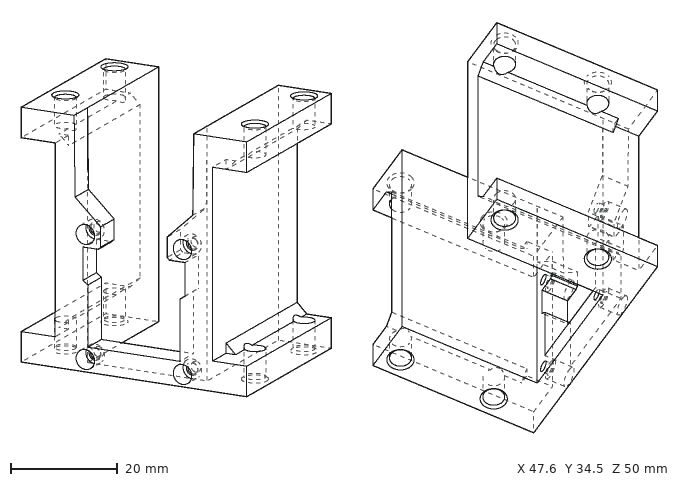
import cadquery as cq

width = 47.6
depth = 34.5
height = 50.0
center_x = width / 2

plate_thickness = 5.5
flange_thickness = 6.0
web_outer_x = 7.2
wall_inner_x = 11.2
gusset_leg = 2.0

opening_floor_z = 4.95
lower_step_x = 14.1
lower_step_z = 17.15
recess_x = 13.05
recess_bottom_z = 17.9
lug_bottom_z = 24.45
lug_tip_x = 16.8
lug_tip_z = 28.95
lug_root_x = 11.4
lug_root_z = 34.0
lug_corner_chamfer = 0.5

mount_hole_diameter = 4.1
countersink_diameter = 5.1
countersink_depth = (countersink_diameter - mount_hole_diameter) / 2
mount_spacing_x = 40.0
mount_spacing_y = 20.0
mount_margin = (width - mount_spacing_x) / 2

screw_hole_diameter = 2.1
screw_bore_diameter = 3.9
screw_bore_depth = 4.0
screw_edge_chamfer = 0.2
screw_spacing_x = 20.5
screw_bottom_z = 2.45
screw_spacing_z = 24.5


def mirror_across_center(body):
    return body.mirror("YZ", (center_x, 0, 0))


def extrude_along_y(points, start_y, length):
    """Extrude an XZ outline from start_y toward +Y."""
    return cq.Workplane("XZ", origin=(0, start_y, 0)).polyline(points).close().extrude(-length)


def make_half_plate():
    outline = [
        (0, 0),
        (center_x, 0),
        (center_x, opening_floor_z),
        (lower_step_x, opening_floor_z),
        (lower_step_x, lower_step_z),
        (recess_x, recess_bottom_z),
        (recess_x, lug_bottom_z),
        (lug_tip_x - lug_corner_chamfer, lug_bottom_z),
        (lug_tip_x, lug_bottom_z + lug_corner_chamfer),
        (lug_tip_x, lug_tip_z),
        (lug_root_x, lug_root_z),
        (wall_inner_x, height),
        (0, height),
        (0, height - flange_thickness),
        (web_outer_x, height - flange_thickness),
        (web_outer_x, flange_thickness),
        (0, flange_thickness),
    ]
    return extrude_along_y(outline, 0, plate_thickness)


def make_side_wall():
    upper_z = height - flange_thickness
    outline = [
        (0, 0),
        (wall_inner_x, 0),
        (wall_inner_x, height),
        (0, height),
        (0, upper_z),
        (web_outer_x - gusset_leg, upper_z),
        (web_outer_x, upper_z - gusset_leg),
        (web_outer_x, flange_thickness + gusset_leg),
        (web_outer_x - gusset_leg, flange_thickness),
        (0, flange_thickness),
    ]
    return extrude_along_y(outline, plate_thickness, depth - plate_thickness)


def make_mount_hole_cutter(x, y):
    """One vertical hole through both flanges, countersunk at the top and bottom faces."""
    hole_radius = mount_hole_diameter / 2
    rim_radius = countersink_diameter / 2
    profile = [
        (0, 0),
        (rim_radius, 0),
        (hole_radius, countersink_depth),
        (hole_radius, height - countersink_depth),
        (rim_radius, height),
        (0, height),
    ]
    cutter = cq.Workplane("XZ").polyline(profile).close().revolve(360, (0, 0), (0, 1))
    return cutter.translate((x, y, 0))


def make_screw_hole_cutter(x, z):
    """One counterbored hole along Y, opening at the front face of the plate."""
    hole_radius = screw_hole_diameter / 2
    bore_radius = screw_bore_diameter / 2
    profile = [
        (0, 0),
        (bore_radius, 0),
        (bore_radius, screw_bore_depth),
        (hole_radius + screw_edge_chamfer, screw_bore_depth),
        (hole_radius, screw_bore_depth + screw_edge_chamfer),
        (hole_radius, plate_thickness),
        (0, plate_thickness),
    ]
    cutter = cq.Workplane("XY").polyline(profile).close().revolve(360, (0, 0), (0, 1))
    return cutter.translate((x, 0, z))


left_half = make_half_plate().union(make_side_wall())

rear_hole_y = depth - mount_margin
for hole_y in (rear_hole_y, rear_hole_y - mount_spacing_y):
    left_half = left_half.cut(make_mount_hole_cutter(mount_margin, hole_y))

screw_x = center_x - screw_spacing_x / 2
for screw_z in (screw_bottom_z, screw_bottom_z + screw_spacing_z):
    left_half = left_half.cut(make_screw_hole_cutter(screw_x, screw_z))

result = left_half.union(mirror_across_center(left_half))